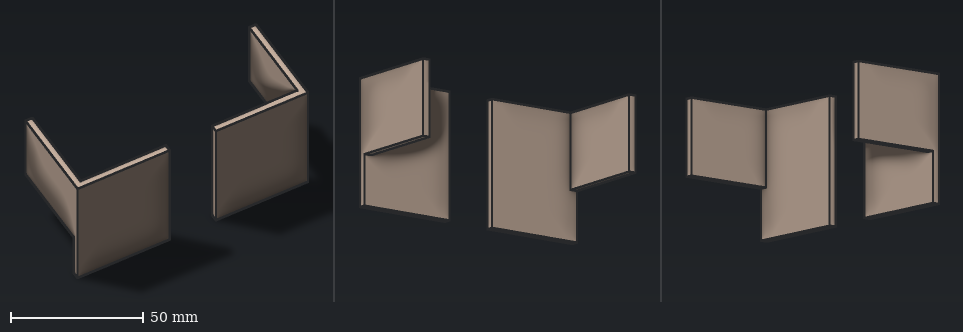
import cadquery as cq

pair_length = 100.0
wall_thickness = 3.0

plate_width = 40.0
plate_height = 50.0

side_depth = 40.0
side_height = 30.0


def back_plate():
    """Full-height plate, with its outer end on the -Y limit of the pair."""
    return (
        cq.Workplane("XY")
        .box(wall_thickness, plate_width, plate_height, centered=False)
        .translate((side_depth - wall_thickness, -pair_length / 2, 0))
    )


def side_wall():
    """Upper wall at the outer end of the plate, flush with the plate's top."""
    return (
        cq.Workplane("XY")
        .box(side_depth, wall_thickness, side_height, centered=False)
        .translate((0, -pair_length / 2, plate_height - side_height))
    )


def corner_bracket(mirrored):
    """One bracket at the -Y end, or its mirror image at the +Y end."""
    bracket = back_plate().union(side_wall()).clean()
    if mirrored:
        bracket = bracket.mirror("XZ")
    return bracket


brackets = [corner_bracket(mirrored).val() for mirrored in (False, True)]

result = cq.Compound.makeCompound([solid for bracket in brackets for solid in bracket.Solids()])